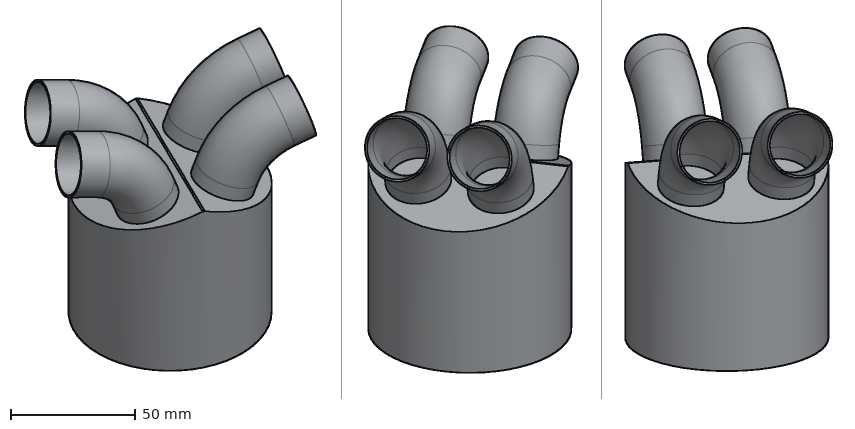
import cadquery as cq
import math

housing_diameter = 82.0
ridge_height = 77.8
ridge_width = 0.9
roof_angle = 20

tube_diameter = 26.8
tube_wall = 0.9
inlet_length = 6.2

rear_bend_radius = 34.8
rear_bend_angle = 52.7
rear_outlet_length = 9.9
rear_spacing = 34.4
rear_offset_y = 16.3

front_bend_radius = 27.2
front_bend_angle = 56.8
front_outlet_length = 12.4
front_spacing = 37.3
front_offset_y = 16.3


def roof_height(distance_from_ridge):
    """Height of the roof at a distance in Y from the middle of the ridge."""
    run = distance_from_ridge - ridge_width / 2
    return ridge_height - run * math.tan(math.radians(roof_angle))


def make_housing():
    """Cylinder trimmed by the gable-shaped roof profile."""
    radius = housing_diameter / 2
    eave_height = roof_height(radius)
    gable = (
        cq.Workplane("YZ")
        .moveTo(-radius, 0)
        .lineTo(radius, 0)
        .lineTo(radius, eave_height)
        .lineTo(ridge_width / 2, ridge_height)
        .lineTo(-ridge_width / 2, ridge_height)
        .lineTo(-radius, eave_height)
        .close()
        .extrude(radius, both=True)
    )
    cylinder = cq.Workplane("XY").circle(radius).extrude(ridge_height)
    return cylinder.intersect(gable)


def make_tube(bend_radius, bend_angle, outlet_length):
    """Thin-walled tube that rises along Z from the origin and bends towards +Y."""

    def bend_point(angle):
        turn = math.radians(angle)
        across = bend_radius * (1 - math.cos(turn))
        up = inlet_length + bend_radius * math.sin(turn)
        return across, up

    exit_turn = math.radians(bend_angle)
    outlet_run = (outlet_length * math.sin(exit_turn), outlet_length * math.cos(exit_turn))
    centre_line = (
        cq.Workplane("YZ")
        .lineTo(0, inlet_length)
        .threePointArc(bend_point(bend_angle / 2), bend_point(bend_angle))
        .line(*outlet_run)
    )
    outer_radius = tube_diameter / 2
    return (
        cq.Workplane("XY")
        .circle(outer_radius)
        .circle(outer_radius - tube_wall)
        .sweep(centre_line)
    )


def stand_on_rear_slope(tube, offset_x, offset_y):
    """Tilt a tube square to the +Y slope and place its foot there."""
    tilted = tube.rotate((0, 0, 0), (1, 0, 0), -roof_angle)
    return tilted.translate((offset_x, offset_y, roof_height(offset_y)))


def make_rear_tube(offset_x):
    tube = make_tube(rear_bend_radius, rear_bend_angle, rear_outlet_length)
    return stand_on_rear_slope(tube, offset_x, rear_offset_y)


def make_front_tube(offset_x):
    """Placed as on the +Y slope, then turned half round the housing axis to the -Y slope."""
    tube = make_tube(front_bend_radius, front_bend_angle, front_outlet_length)
    placed = stand_on_rear_slope(tube, -offset_x, front_offset_y)
    return placed.rotate((0, 0, 0), (0, 0, 1), 180)


housing = make_housing()
rear_tubes = [make_rear_tube(side * rear_spacing / 2) for side in (-1, 1)]
front_tubes = [make_front_tube(side * front_spacing / 2) for side in (-1, 1)]

result = cq.Compound.makeCompound(
    [housing.val()] + [tube.val() for tube in rear_tubes + front_tubes]
)